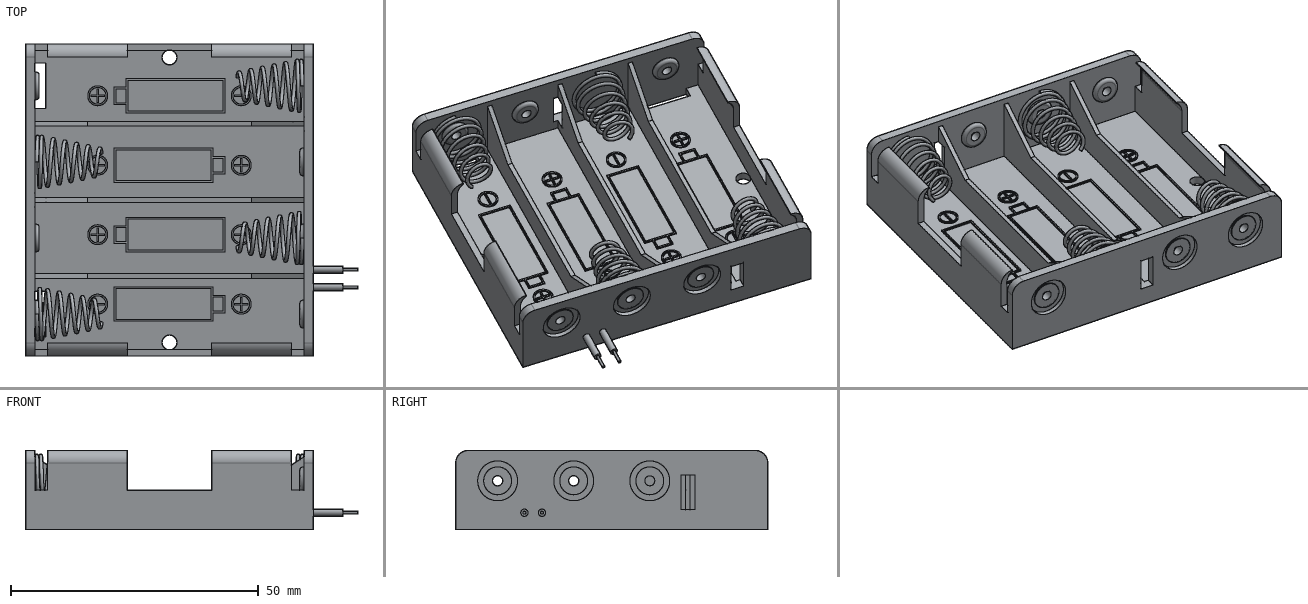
import cadquery as cq
import math

HOUSING_LENGTH = 58.0
HOUSING_WIDTH = 63.0
HOUSING_HEIGHT = 16.0
END_WALL = 1.9
SIDE_WALL = 1.35
FLOOR = 1.8
CORNER_RADIUS = 2.6
LIP_EDGE = 0.3

OUTER_X = HOUSING_LENGTH / 2
INNER_X = OUTER_X - END_WALL
OUTER_Y = HOUSING_WIDTH / 2

ROW_PITCH = 15.35
ROW_Y = [ROW_PITCH * step for step in (1.5, 0.5, -0.5, -1.5)]
DIVIDER_Y = [ROW_PITCH * step for step in (1, 0, -1)]
DIVIDER_THICKNESS = 0.95
DIVIDER_LOW = 8.0
DIVIDER_PEAK = 14.7
RAMP_LENGTH = 10.6
LEFT, RIGHT = -1, 1
SPRING_END = [RIGHT, LEFT, RIGHT, LEFT]

SILL_HEIGHT = 8.0
MIDDLE_GAP = 17.0
END_SLOT = 2.55

CONTACT_Z = 9.85
RECESS_RADIUS = 4.0
RECESS_DEPTH = 0.95
BUTTON_RADIUS = 2.8
BUTTON_HEIGHT = 0.9
BUTTON_ROUNDING = 0.7
RIVET_HEAD = 0.3
CONTACT_HOLE = 2.0
CONTACTS = [
    (LEFT, 0),
    (LEFT, 2),
    (LEFT, 3),
    (RIGHT, 1),
    (RIGHT, 2),
    (RIGHT, 3),
]

LINK_SLOT_WIDTH = 2.8
LINK_SLOT_BOTTOM = 4.0
LINK_SLOT_TOP = 11.0
LINK_SLOT_NOTCH = 2.3
LINK_SLOTS = [(LEFT, DIVIDER_Y[1]), (RIGHT, DIVIDER_Y[0])]

SCREW_HOLE = 2.95
SCREW_HOLE_Y = 28.75
FLOOR_WINDOW_LENGTH = 2.15
FLOOR_WINDOW_WIDTH = 9.1

LINE_WIDTH = 0.35
LINE_HEIGHT = 0.3
MARK_PITCH = 14.0
MARK_Y = [MARK_PITCH * step for step in (1.5, 0.5, -0.5, -1.5)]
CELL_LENGTH = 19.9
CELL_WIDTH = 6.9
CELL_TIP_LENGTH = 2.4
CELL_TIP_WIDTH = 3.5
POLARITY_X = 14.5
POLARITY_RADIUS = 2.0
POLARITY_BAR = 2.7

WIRE_Y = (-14.1, -17.6)
WIRE_Z = 3.4
INSULATION_DIAMETER = 1.5
INSULATION_LENGTH = 5.95
CORE_DIAMETER = 0.6
WIRE_LENGTH = 67 - HOUSING_LENGTH

SPRING_WIRE = 0.75
SPRING_RADIUS = 5.0
TIP_RADIUS = 2.6
CLOSED_TURNS = 1.25
CLOSED_PITCH = 0.8
OPEN_TURNS = 5.13
OPEN_PITCH = 2.35
POINTS_PER_TURN = 24
SPRING_HAND = [1, -1, -1, 1]


def block(x_range, y_range, z_range):
    """Box between the given limits."""
    size = [abs(high - low) for low, high in (x_range, y_range, z_range)]
    corner = (min(x_range), min(y_range), min(z_range))
    return cq.Workplane("XY").box(*size, centered=False).translate(corner)


def x_cylinder(diameter, x_range, y, z):
    """Cylinder along X between the given limits."""
    start = min(x_range)
    length = abs(x_range[1] - x_range[0])
    return cq.Workplane("YZ", origin=(start, y, z)).circle(diameter / 2).extrude(length)


def tray():
    """Floor, end walls with rounded corners, and side walls that curl inwards at the top."""
    hull = (
        cq.Workplane("YZ", origin=(-OUTER_X, 0, 0))
        .rect(HOUSING_WIDTH, 2 * HOUSING_HEIGHT)
        .extrude(HOUSING_LENGTH)
        .edges("|X and >Z")
        .fillet(CORNER_RADIUS)
    )
    hull = hull.intersect(block((-OUTER_X, OUTER_X), (-OUTER_Y, OUTER_Y), (0, HOUSING_HEIGHT)))
    inner_y = OUTER_Y - SIDE_WALL
    lip_y = OUTER_Y - CORNER_RADIUS
    bend_z = HOUSING_HEIGHT - CORNER_RADIUS
    half_cavity = (
        cq.Workplane("YZ", origin=(-INNER_X, 0, 0))
        .moveTo(0, FLOOR)
        .lineTo(inner_y, FLOOR)
        .lineTo(inner_y, bend_z)
        .tangentArcPoint((lip_y, HOUSING_HEIGHT - LIP_EDGE), relative=False)
        .lineTo(lip_y, HOUSING_HEIGHT)
        .lineTo(0, HOUSING_HEIGHT)
        .close()
        .extrude(2 * INNER_X)
    )
    return hull.cut(half_cavity).cut(half_cavity.mirror("XZ"))


def side_wall_openings():
    """Wide gap in the middle of the side walls and narrow slots next to the end walls."""
    openings = cq.Workplane("XY")
    y_range = (-OUTER_Y, OUTER_Y)
    z_range = (SILL_HEIGHT, HOUSING_HEIGHT)
    x_ranges = [
        (-MIDDLE_GAP / 2, MIDDLE_GAP / 2),
        (-INNER_X, -INNER_X + END_SLOT),
        (INNER_X - END_SLOT, INNER_X),
    ]
    for x_range in x_ranges:
        openings = openings.union(block(x_range, y_range, z_range))
    return openings


def divider(y):
    """Low wall between two rows, rising to a peak at both end walls."""
    ramp_x = INNER_X - RAMP_LENGTH
    outline = [
        (-INNER_X, 0),
        (-INNER_X, DIVIDER_PEAK),
        (-ramp_x, DIVIDER_LOW),
        (ramp_x, DIVIDER_LOW),
        (INNER_X, DIVIDER_PEAK),
        (INNER_X, 0),
    ]
    return (
        cq.Workplane("XZ", origin=(0, y, 0))
        .polyline(outline)
        .close()
        .extrude(DIVIDER_THICKNESS / 2, both=True)
    )


def link_slot(side, y):
    """Upright slot through an end wall, cutting back into the divider behind it."""
    return block(
        (side * (INNER_X - LINK_SLOT_NOTCH), side * OUTER_X),
        (y - LINK_SLOT_WIDTH / 2, y + LINK_SLOT_WIDTH / 2),
        (LINK_SLOT_BOTTOM, LINK_SLOT_TOP),
    )


def add_contact(body, side, y):
    """Outer recess, rivet head and inner rounded button around a hole in an end wall."""
    recess_floor = OUTER_X - RECESS_DEPTH
    button_end = INNER_X - BUTTON_HEIGHT
    recess = x_cylinder(2 * RECESS_RADIUS, (side * recess_floor, side * OUTER_X), y, CONTACT_Z)
    button_range = (side * button_end, side * (recess_floor + RIVET_HEAD))
    button = x_cylinder(2 * BUTTON_RADIUS, button_range, y, CONTACT_Z)
    inner_rim = "<X" if side == RIGHT else ">X"
    button = button.faces(inner_rim).edges().fillet(BUTTON_ROUNDING)
    hole = x_cylinder(CONTACT_HOLE, (side * button_end, side * OUTER_X), y, CONTACT_Z)
    return body.cut(recess).union(button).cut(hole)


def floor_openings():
    """Two screw holes on the centre line, and windows by the left contacts of the outer rows."""
    screw_places = [(0, SCREW_HOLE_Y), (0, -SCREW_HOLE_Y)]
    openings = cq.Workplane("XY").pushPoints(screw_places).circle(SCREW_HOLE / 2).extrude(FLOOR)
    for y in (ROW_Y[0], ROW_Y[-1]):
        window = block(
            (-INNER_X, -INNER_X + FLOOR_WINDOW_LENGTH),
            (y - FLOOR_WINDOW_WIDTH / 2, y + FLOOR_WINDOW_WIDTH / 2),
            (0, FLOOR),
        )
        openings = openings.union(window)
    return openings


def raised_plate(length, width, x, y):
    """Flat rectangle that stands on the floor at line height."""
    return block(
        (x - length / 2, x + length / 2),
        (y - width / 2, y + width / 2),
        (FLOOR, FLOOR + LINE_HEIGHT),
    )


def raised_frame(length, width, x, y):
    """Raised rectangular outline whose outer size is the given one."""
    core = raised_plate(length - 2 * LINE_WIDTH, width - 2 * LINE_WIDTH, x, y)
    return raised_plate(length, width, x, y).cut(core)


def polarity_mark(x, y, positive):
    """Raised ring with a plus or a minus inside."""
    ring = (
        cq.Workplane("XY", origin=(x, y, FLOOR))
        .circle(POLARITY_RADIUS)
        .circle(POLARITY_RADIUS - LINE_WIDTH)
        .extrude(LINE_HEIGHT)
    )
    mark = ring.union(raised_plate(POLARITY_BAR, LINE_WIDTH, x, y))
    if positive:
        mark = mark.union(raised_plate(LINE_WIDTH, POLARITY_BAR, x, y))
    return mark


def cell_marks(y, spring_side):
    """Cell outline with its positive tip away from the spring, and both polarity marks."""
    plus_side = -spring_side
    body_x = -plus_side * CELL_TIP_LENGTH / 2
    tip_x = plus_side * (CELL_LENGTH - LINE_WIDTH) / 2
    tip = raised_frame(CELL_TIP_LENGTH + LINE_WIDTH, CELL_TIP_WIDTH, tip_x, y)
    return (
        raised_frame(CELL_LENGTH, CELL_WIDTH, body_x, y)
        .union(tip)
        .union(polarity_mark(plus_side * POLARITY_X, y, True))
        .union(polarity_mark(spring_side * POLARITY_X, y, False))
    )


def wire(y):
    """Insulated wire with a bare end, leaving the right end wall."""
    insulation = x_cylinder(INSULATION_DIAMETER, (INNER_X, OUTER_X + INSULATION_LENGTH), y, WIRE_Z)
    core = x_cylinder(CORE_DIAMETER, (INNER_X, OUTER_X + WIRE_LENGTH), y, WIRE_Z)
    return insulation.union(core)


def make_housing():
    """Tray with its dividers, contacts, openings, floor marks and wires as one body."""
    body = tray().cut(side_wall_openings())
    for y in DIVIDER_Y:
        body = body.union(divider(y))
    for side, y in LINK_SLOTS:
        body = body.cut(link_slot(side, y))
    for side, row in CONTACTS:
        body = add_contact(body, side, ROW_Y[row])
    body = body.cut(floor_openings())
    for y, spring_side in zip(MARK_Y, SPRING_END):
        body = body.union(cell_marks(y, spring_side))
    for y in WIRE_Y:
        body = body.union(wire(y))
    return body


def coil_point(turns, hand):
    """Centre line of a spring that starts at the wall and runs along +X: closed, then tapering."""
    closed = min(turns, CLOSED_TURNS)
    opened = turns - closed
    x = SPRING_WIRE / 2 + closed * CLOSED_PITCH + opened * OPEN_PITCH
    radius = SPRING_RADIUS - (SPRING_RADIUS - TIP_RADIUS) * opened / OPEN_TURNS
    angle = math.radians(90) + 2 * math.pi * turns
    return (x, hand * radius * math.cos(angle), radius * math.sin(angle))


def make_spring(side, y, hand):
    """Conical coil spring of the given hand, standing on the inner face of an end wall."""
    total_turns = CLOSED_TURNS + OPEN_TURNS
    steps = math.ceil(total_turns * POINTS_PER_TURN)
    points = [coil_point(total_turns * step / steps, hand) for step in range(steps + 1)]
    path = cq.Workplane("XY").spline(points)
    start_plane = cq.Plane(path.val().positionAt(0), (1, 0, 0), path.val().tangentAt(0))
    spring = cq.Workplane(start_plane).circle(SPRING_WIRE / 2).sweep(path, isFrenet=True)
    if side == RIGHT:
        spring = spring.rotate((0, 0, 0), (0, 0, 1), 180)
    return spring.translate((side * INNER_X, y, CONTACT_Z))


housing = make_housing()
springs = [make_spring(*place) for place in zip(SPRING_END, ROW_Y, SPRING_HAND)]

result = cq.Compound.makeCompound([housing.val(), *[spring.val() for spring in springs]])